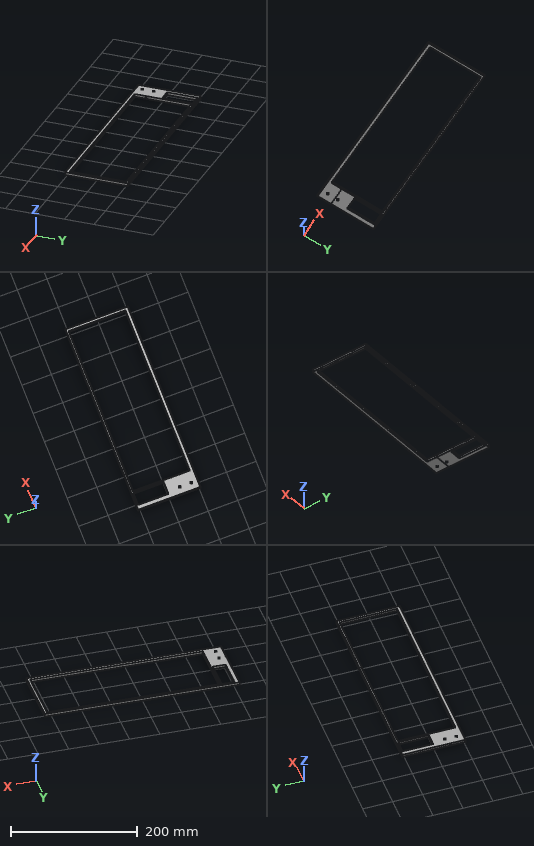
import cadquery as cq

length = 320.2
width = 105.7
thickness = 5.0

window_left = 31.7
right_rail = 4.8
front_rail = 6.0
back_rail = 4.0

slot_left = 7.7
slot_length = 21.0
slot_width = 51.2
slot_back_rail = 3.0

hole_diameter = 3.05
hole_x = 12.2
first_hole_y = 11.2
hole_count = 2
hole_pitch = 19.2

bore_diameter = 1.5
bore_y = 25.0
bore_z = 2.0


def rectangular_cutter(x_min, x_max, y_min, y_max):
    """Block through the full thickness between the given X and Y limits."""
    return cq.Workplane("XY").box(
        x_max - x_min, y_max - y_min, thickness, centered=False
    ).translate((x_min, y_min, 0))


plate = cq.Workplane("XY").box(length, width, thickness, centered=False)

large_window = rectangular_cutter(
    window_left, length - right_rail, front_rail, width - back_rail
)

slot_back = width - slot_back_rail
small_window = rectangular_cutter(
    slot_left, slot_left + slot_length, slot_back - slot_width, slot_back
)

hole_centers = [(hole_x, first_hole_y + i * hole_pitch) for i in range(hole_count)]
holes = (
    cq.Workplane("XY")
    .pushPoints(hole_centers)
    .circle(hole_diameter / 2)
    .extrude(thickness)
)

cross_bore = (
    cq.Workplane("YZ")
    .center(bore_y, bore_z)
    .circle(bore_diameter / 2)
    .extrude(window_left)
)

result = plate.cut(large_window).cut(small_window).cut(holes).cut(cross_bore)